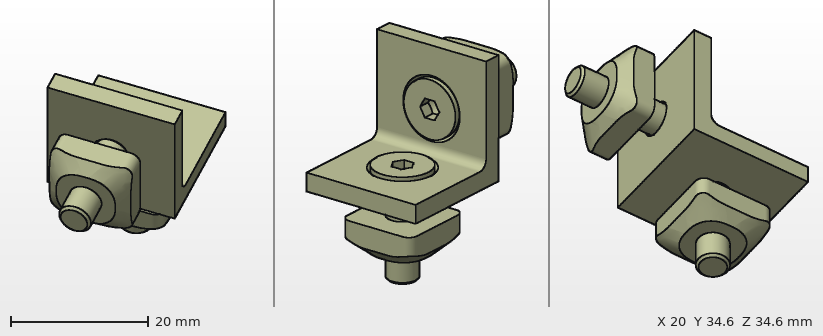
import cadquery as cq
import math

leg_length = 20.0
leg_thickness = 3.0
inner_fillet = 1.5
bracket_hole_diameter = 5.5
countersink_diameter = 10.4

overall_length = 34.6
screw_reach = overall_length - leg_length
screw_diameter = 5.0
tip_diameter = 4.2
head_diameter = 9.45
head_rise = 0.45
socket_flats = 3.05
socket_depth = 1.9
socket_floor_angle = 120

nut_width = 12.8
nut_thickness = 5.43
nut_gap = 4.55
nut_corner_radius = 1.5
nut_taper = 1.75
nut_taper_edge_radius = 6.0

leg_middle = leg_length / 2


def place_on_bottom_leg(shape):
    """Move a part built about Z, with the outer leg face at Z = 0, to the horizontal leg."""
    return shape.translate((0, leg_middle, 0))


def place_on_upright_leg(shape):
    """Turn the same part so that its inner end faces +Y, and move it to the upright leg."""
    return shape.rotate((0, 0, 0), (1, 0, 0), -90).translate((0, 0, leg_middle))


placements = [place_on_bottom_leg, place_on_upright_leg]


def make_countersunk_hole_cutter():
    hole_radius = bracket_hole_diameter / 2
    sink_radius = countersink_diameter / 2
    sink_depth = sink_radius - hole_radius
    return (
        cq.Workplane("XZ")
        .polyline([
            (0, 0),
            (hole_radius, 0),
            (hole_radius, leg_thickness - sink_depth),
            (sink_radius, leg_thickness),
            (0, leg_thickness),
        ])
        .close()
        .revolve(360, (0, 0, 0), (0, 1, 0))
    )


def make_bracket():
    angle = (
        cq.Workplane("YZ")
        .polyline([
            (0, 0),
            (leg_length, 0),
            (leg_length, leg_thickness),
            (leg_thickness, leg_thickness),
            (leg_thickness, leg_length),
            (0, leg_length),
        ])
        .close()
        .extrude(leg_length / 2, both=True)
    )
    inner_corner = cq.NearestToPointSelector((0, leg_thickness, leg_thickness))
    angle = angle.edges("|X").edges(inner_corner).fillet(inner_fillet)
    for place in placements:
        angle = angle.cut(place(make_countersunk_hole_cutter()))
    return angle


def make_socket_cutter(head_top):
    """Hexagonal socket with a conical floor."""
    corner_diameter = socket_flats / math.cos(math.radians(30))
    corner_radius = corner_diameter / 2
    floor_rise = corner_radius / math.tan(math.radians(socket_floor_angle / 2))
    floor_top = head_top - socket_depth
    floor_bottom = floor_top - floor_rise
    hexagon = (
        cq.Workplane("XY", origin=(0, 0, floor_bottom))
        .polygon(6, corner_diameter)
        .extrude(head_top - floor_bottom)
    )
    drilled = (
        cq.Workplane("XZ")
        .polyline([
            (0, floor_bottom),
            (corner_radius, floor_top),
            (corner_radius, head_top),
            (0, head_top),
        ])
        .close()
        .revolve(360, (0, 0, 0), (0, 1, 0))
    )
    return hexagon.intersect(drilled)


def make_screw():
    shank_radius = screw_diameter / 2
    tip_radius = tip_diameter / 2
    head_radius = head_diameter / 2
    head_top = leg_thickness + head_rise
    cone_top = leg_thickness - (countersink_diameter / 2 - head_radius)
    cone_bottom = cone_top - (head_radius - shank_radius)
    body = (
        cq.Workplane("XZ")
        .polyline([
            (0, -screw_reach),
            (tip_radius, -screw_reach),
            (shank_radius, -screw_reach + shank_radius - tip_radius),
            (shank_radius, cone_bottom),
            (head_radius, cone_top),
            (head_radius, head_top),
            (0, head_top),
        ])
        .close()
        .revolve(360, (0, 0, 0), (0, 1, 0))
    )
    return body.cut(make_socket_cutter(head_top))


def make_nut():
    nut_bottom = -nut_gap - nut_thickness
    block = (
        cq.Workplane("XY", origin=(0, 0, nut_bottom))
        .rect(nut_width, nut_width)
        .extrude(nut_thickness)
        .edges("|Z")
        .fillet(nut_corner_radius)
    )
    end_width = nut_width - 2 * nut_taper
    base_width = end_width + 2 * nut_thickness
    pyramid = (
        cq.Workplane("XY", origin=(0, 0, nut_bottom))
        .rect(end_width, end_width)
        .workplane(offset=nut_thickness)
        .rect(base_width, base_width)
        .loft(ruled=True)
        .edges("not(#Z)")
        .fillet(nut_taper_edge_radius)
    )
    bore = (
        cq.Workplane("XY", origin=(0, 0, nut_bottom))
        .circle(screw_diameter / 2)
        .extrude(nut_thickness)
    )
    return block.intersect(pyramid).cut(bore)


bracket = make_bracket()
screws = [place(make_screw()).val() for place in placements]
nuts = [place(make_nut()).val() for place in placements]

result = cq.Compound.makeCompound([bracket.val(), *screws, *nuts])